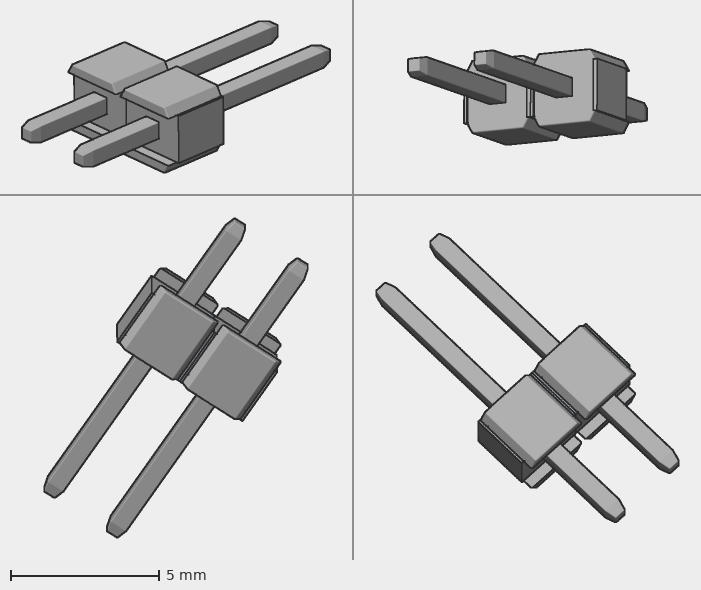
import cadquery as cq
import math

unit_count = 2
pitch = 2.54

pin_length = 11.55
pin_width = 0.64
pin_tail = 6.0
taper_length = 0.39
tip_width = 0.44
pin_edge_radius = 0.03

housing_height = 2.5
housing_depth = 2.5
housing_width = 2.37
flange_slope = 60.0
housing_edge_radius = 0.06

spacer_height = 1.77
spacer_depth = 2.1
spacer_lean = 0.01

flange_thickness = (housing_height - spacer_height) / 2
web_thickness = flange_thickness
back_y = pin_length / 2 - pin_tail


def prism_along_y(outline, depth):
    """Extrude an XZ outline forward (toward -Y) from the back of the housing."""
    return cq.Workplane("XZ", origin=(0, back_y, 0)).polyline(outline).close().extrude(depth)


def make_pin():
    half_length = pin_length / 2
    half_shank = half_length - taper_length
    half_width = pin_width / 2
    half_tip = tip_width / 2
    upper_side = [
        (-half_length, half_tip),
        (-half_shank, half_width),
        (half_shank, half_width),
        (half_length, half_tip),
    ]
    lower_side = [(along, -across) for along, across in reversed(upper_side)]
    outline = upper_side + lower_side

    tapered_in_z = cq.Workplane("YZ").polyline(outline).close().extrude(half_width, both=True)
    outline_in_xy = [(across, along) for along, across in outline]
    tapered_in_x = cq.Workplane("XY").polyline(outline_in_xy).close().extrude(half_width, both=True)
    pin = tapered_in_z.intersect(tapered_in_x)

    end_edges = pin.faces("<Y or >Y").edges()
    return pin.edges("not #Y").add(end_edges).fillet(pin_edge_radius)


def make_housing(pin):
    half_width = housing_width / 2
    half_height = housing_height / 2
    half_notch = spacer_height / 2
    half_top = half_width - flange_thickness / math.tan(math.radians(flange_slope))
    right_side = [
        (half_top, -half_height),
        (half_width, -half_notch),
        (half_width, half_notch),
        (half_top, half_height),
    ]
    left_side = [(-x, z) for x, z in reversed(right_side)]
    housing = prism_along_y(right_side + left_side, housing_depth)
    housing = housing.faces("<Y or >Y or <Z or >Z").edges().fillet(housing_edge_radius)

    notch_depth = housing_depth - web_thickness
    notch = cq.Workplane("XY").box(housing_width, notch_depth, spacer_height)
    notch = notch.translate((0, back_y - web_thickness - notch_depth / 2, 0))
    return housing.cut(notch).cut(pin)


def make_spacer(housing, pin):
    half_pitch = pitch / 2
    half_height = spacer_height / 2
    half_lean = spacer_lean / 2
    outline = [
        (-half_pitch - half_lean, half_height),
        (half_pitch - half_lean, half_height),
        (half_pitch + half_lean, -half_height),
        (-half_pitch + half_lean, -half_height),
    ]
    return prism_along_y(outline, spacer_depth).cut(housing).cut(pin)


pin = make_pin()
housing = make_housing(pin)
spacer = make_spacer(housing, pin)

bodies = []
for index in range(unit_count):
    unit_x = (index - (unit_count - 1) / 2) * pitch
    for body in (pin, housing, spacer):
        bodies.append(body.translate((unit_x, 0, 0)).solids().val())

result = cq.Compound.makeCompound(bodies)